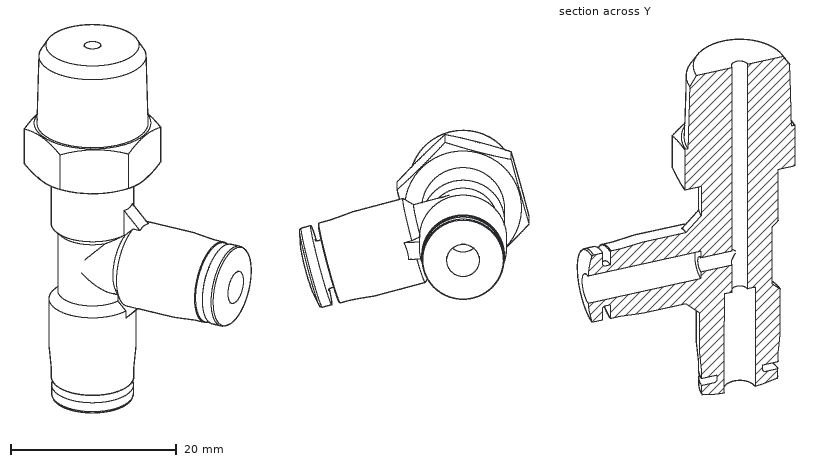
import cadquery as cq
import math

STUD_TOP = 28.0
STUD_CHAMFER_HEIGHT = 1.45
STUD_TOP_RADIUS = 5.6
THREAD_TOP_RADIUS = 6.45
THREAD_BASE_RADIUS = 6.7

HEX_ACROSS_FLATS = 14.3
HEX_BOTTOM = 11.45
HEX_TOP = 17.5
HEX_CHAMFER_ANGLE = math.radians(30)
HEX_FACE_RADIUS = 7.05

SLEEVE_RADIUS = 5.0
SLEEVE_BOTTOM = 4.0
CORE_RADIUS = 4.2

SHOULDER_START = 5.05
BODY_RADIUS = 10.5 / 2
TAPER_START = 12.45
TAPER_END = 15.35
RIM_RADIUS = 10.0 / 2
BODY_END = 16.75
RIM_BEVEL = 0.1
NECK_RADIUS = 5.95 / 2
NECK_FLARE = 0.35
FLANGE_START = 17.7
FLANGE_RADIUS = 9.9 / 2
FLANGE_EDGE = 18.9
EDGE_BEVEL_DEPTH = 0.1
EDGE_BEVEL_HEIGHT = 0.25
DOME_BULGE = 0.1
PORT_END = 19.6

BORE_DIAMETER = 2.0
SOCKET_DIAMETER = 3.95

WEB_REACH = 12.25
WEB_THICKNESS = 2.15

DOWN = (0, 0, -1)
OUTWARD = (1, 0, 0)


def rod(direction, radius, length):
    """Cylinder running from the tee centre in the given direction."""
    return cq.Workplane(cq.Solid.makeCylinder(radius, length, cq.Vector(0, 0, 0), cq.Vector(*direction)))


def make_stud():
    """Tapered stud with a chamfered tip, standing on the collar."""
    return (
        cq.Workplane("XZ")
        .moveTo(0, HEX_BOTTOM)
        .lineTo(THREAD_BASE_RADIUS, HEX_BOTTOM)
        .lineTo(THREAD_BASE_RADIUS, HEX_TOP)
        .lineTo(THREAD_TOP_RADIUS, STUD_TOP - STUD_CHAMFER_HEIGHT)
        .lineTo(STUD_TOP_RADIUS, STUD_TOP)
        .lineTo(0, STUD_TOP)
        .close()
        .revolve(360, (0, 0), (0, 1))
    )


def make_collar():
    """Hexagon with its corners bevelled at both ends by a turned envelope."""
    corner_radius = HEX_ACROSS_FLATS / math.sqrt(3)
    bevel = (corner_radius - HEX_FACE_RADIUS) * math.tan(HEX_CHAMFER_ANGLE)
    prism = (
        cq.Workplane("XY", origin=(0, 0, HEX_BOTTOM))
        .polygon(6, 2 * corner_radius)
        .extrude(HEX_TOP - HEX_BOTTOM)
        .rotate((0, 0, 0), (0, 0, 1), 90)
    )
    envelope = (
        cq.Workplane("XZ")
        .moveTo(0, HEX_BOTTOM)
        .lineTo(HEX_FACE_RADIUS, HEX_BOTTOM)
        .lineTo(corner_radius, HEX_BOTTOM + bevel)
        .lineTo(corner_radius, HEX_TOP - bevel)
        .lineTo(HEX_FACE_RADIUS, HEX_TOP)
        .lineTo(0, HEX_TOP)
        .close()
        .revolve(360, (0, 0), (0, 1))
    )
    return prism.intersect(envelope)


def make_sleeve():
    """Cylinder below the collar, tapering at 45 degrees into the core."""
    return (
        cq.Workplane("XZ")
        .moveTo(0, HEX_BOTTOM)
        .lineTo(SLEEVE_RADIUS, HEX_BOTTOM)
        .lineTo(SLEEVE_RADIUS, SLEEVE_BOTTOM)
        .lineTo(CORE_RADIUS, SLEEVE_BOTTOM - (SLEEVE_RADIUS - CORE_RADIUS))
        .lineTo(CORE_RADIUS, 0)
        .lineTo(0, 0)
        .close()
        .revolve(360, (0, 0), (0, 1))
    )


def make_port():
    """Port pointing down: core, shoulder, tapered body, flared neck and domed release flange."""
    dome_radius = FLANGE_RADIUS - EDGE_BEVEL_DEPTH
    dome_start = FLANGE_EDGE + EDGE_BEVEL_HEIGHT
    mouth_radius = SOCKET_DIAMETER / 2
    dome_middle = ((dome_radius + mouth_radius) / 2, -(dome_start + PORT_END) / 2 - DOME_BULGE)
    return (
        cq.Workplane("XZ")
        .lineTo(CORE_RADIUS, 0)
        .lineTo(CORE_RADIUS, -SHOULDER_START)
        .lineTo(BODY_RADIUS, -SHOULDER_START - (BODY_RADIUS - CORE_RADIUS))
        .lineTo(BODY_RADIUS, -TAPER_START)
        .lineTo(RIM_RADIUS, -TAPER_END)
        .lineTo(RIM_RADIUS, -BODY_END + RIM_BEVEL)
        .lineTo(RIM_RADIUS - RIM_BEVEL, -BODY_END)
        .lineTo(NECK_RADIUS, -BODY_END)
        .lineTo(NECK_RADIUS, -FLANGE_START + NECK_FLARE)
        .tangentArcPoint((NECK_RADIUS + NECK_FLARE, -FLANGE_START), relative=False)
        .lineTo(FLANGE_RADIUS, -FLANGE_START)
        .lineTo(FLANGE_RADIUS, -FLANGE_EDGE)
        .lineTo(dome_radius, -dome_start)
        .threePointArc(dome_middle, (mouth_radius, -PORT_END))
        .lineTo(0, -PORT_END)
        .close()
        .revolve(360, (0, 0), (0, 1))
    )


def make_web():
    """Triangular plate filling both corners between the run and the branch."""
    return (
        cq.Workplane("XZ")
        .polyline([(0, WEB_REACH), (WEB_REACH, 0), (0, -WEB_REACH)])
        .close()
        .extrude(WEB_THICKNESS / 2, both=True)
    )


def make_socket(direction):
    """Tube socket from the port mouth inward to the shoulder."""
    length = PORT_END - SHOULDER_START
    start = cq.Vector(*direction) * SHOULDER_START
    return cq.Workplane(cq.Solid.makeCylinder(SOCKET_DIAMETER / 2, length, start, cq.Vector(*direction)))


lower_port = make_port()
branch_port = lower_port.rotate((0, 0, 0), (0, 1, 0), -90)

result = make_stud().union(make_collar()).union(make_sleeve())
result = result.union(lower_port).union(branch_port).union(make_web())

result = result.cut(rod((0, 0, 1), BORE_DIAMETER / 2, STUD_TOP))
for port_direction in (DOWN, OUTWARD):
    result = result.cut(rod(port_direction, BORE_DIAMETER / 2, PORT_END))
    result = result.cut(make_socket(port_direction))